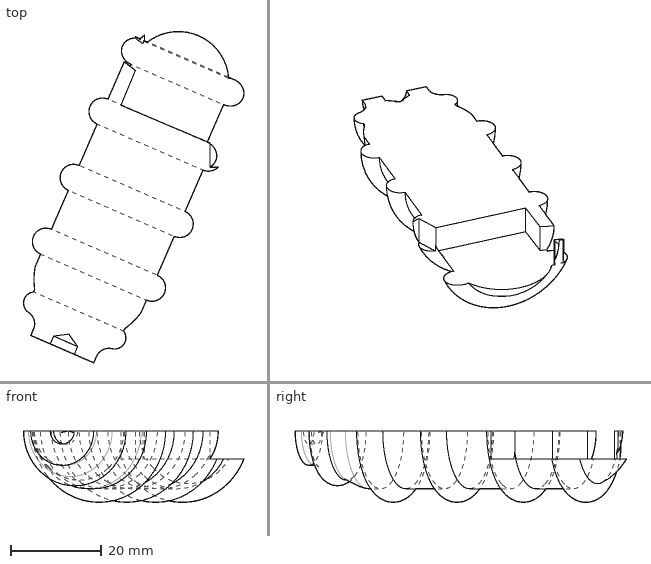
import cadquery as cq
import math

axis_tilt = 23.5

body_radius = 12.8
dome_station = 64.5
shoulder_end = 14.4
shoulder_mid_station = 12.9
shoulder_mid_radius = 12.4
neck_radius = 7.62

ring_stations = [20.4, 35.8, 51.8, 66.9]
ring_tube_radius = 3.02

end_ring_station = 6.95
end_ring_centre_radius = 9.65
end_ring_tube_radius = 2.5
neck_fillet = 3.0
groove_angle = 60.0
groove_bottom = (10.88, 9.5)
groove_end = (11.08, 10.0)

hole_radius = 2.9
hole_depth = 1.9
drill_point_angle = 118.0

recess_depth = 6.2
recess_back_left = (13.0, 54.0)
recess_wall_top = (16.2, 61.7)
recess_wall_outer = (13.8, 63.6)
recess_back_right_y = 45.65
recess_right_x = 32.75
recess_right_y = 40.3
post_outline = [
    (16.25, 68.9),
    (16.75, 68.38),
    (17.85, 67.66),
    (18.25, 68.45),
]
recess_margin = 10.0


def revolve(profile):
    """Revolve a closed (radius, station) profile a full turn about the Y axis."""
    return profile.revolve(360, (0, 0, 0), (0, 1, 0))


def make_core():
    """Neck, shoulder, cylinder and dome, with the neck flowing into the end ring."""
    fillet_centre_radius = neck_radius + neck_fillet
    centre_distance = neck_fillet + end_ring_tube_radius
    radial_gap = fillet_centre_radius - end_ring_centre_radius
    fillet_station = end_ring_station - math.sqrt(centre_distance**2 - radial_gap**2)
    blend = neck_fillet / centre_distance
    tangent = (
        fillet_centre_radius - radial_gap * blend,
        fillet_station + (end_ring_station - fillet_station) * blend,
    )
    tangent_angle = math.atan2(tangent[1] - fillet_station, tangent[0] - fillet_centre_radius)
    mid_angle = (tangent_angle + math.pi) / 2
    fillet_mid = (
        fillet_centre_radius + neck_fillet * math.cos(mid_angle),
        fillet_station + neck_fillet * math.sin(mid_angle),
    )

    groove_start = (
        end_ring_centre_radius + end_ring_tube_radius * math.cos(math.radians(groove_angle)),
        end_ring_station + end_ring_tube_radius * math.sin(math.radians(groove_angle)),
    )
    ring_crest = (end_ring_centre_radius + end_ring_tube_radius, end_ring_station)
    dome_mid = (body_radius * math.sqrt(0.5), dome_station + body_radius * math.sqrt(0.5))
    return revolve(
        cq.Workplane("XY")
        .lineTo(neck_radius, 0)
        .lineTo(neck_radius, fillet_station)
        .threePointArc(fillet_mid, tangent)
        .threePointArc(ring_crest, groove_start)
        .threePointArc(groove_bottom, groove_end)
        .threePointArc((shoulder_mid_radius, shoulder_mid_station), (body_radius, shoulder_end))
        .lineTo(body_radius, dome_station)
        .threePointArc(dome_mid, (0, dome_station + body_radius))
        .close()
    )


def make_ring(station):
    """Round ring centred on the body surface."""
    return revolve(cq.Workplane("XY").pushPoints([(body_radius, station)]).circle(ring_tube_radius))


def make_hole():
    """Blind hole with a conical drill point."""
    cone_height = hole_radius / math.tan(math.radians(drill_point_angle / 2))
    return revolve(
        cq.Workplane("XY")
        .lineTo(hole_radius, 0)
        .lineTo(hole_radius, hole_depth)
        .lineTo(0, hole_depth + cone_height)
        .close()
    )


def make_recess():
    """Flat-floored cutter that clears the domed end but leaves the post and a side wall."""
    left = recess_wall_outer[0] - recess_margin
    top = dome_station + body_radius + recess_margin
    right = recess_right_x + 2 * recess_margin
    return (
        cq.Workplane("XY")
        .polyline([
            recess_back_left,
            recess_wall_top,
            recess_wall_outer,
            (left, recess_wall_outer[1]),
            (left, top),
            (post_outline[0][0], top),
            *post_outline,
            (post_outline[-1][0], top),
            (right, top),
            (right, recess_right_y),
            (recess_right_x, recess_right_y),
            (recess_right_x, recess_back_right_y),
        ])
        .close()
        .extrude(-recess_depth)
    )


def make_lower_space():
    """Block filling everything near the part below Z = 0."""
    size = 4 * (dome_station + body_radius)
    return cq.Workplane("XY").rect(size, size).extrude(-size)


body = make_core()
for station in ring_stations:
    body = body.union(make_ring(station))
body = body.cut(make_hole())
body = body.rotate((0, 0, 0), (0, 0, 1), -axis_tilt)
body = body.intersect(make_lower_space())
result = body.cut(make_recess())